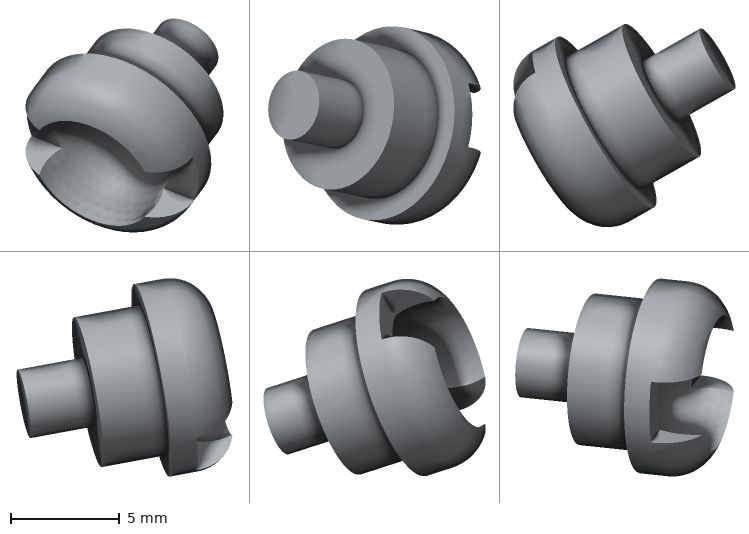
import cadquery as cq
import math

total_length = 9.2
head_diameter = 9.0
collar_diameter = 7.0
stem_diameter = 3.2
step_length = 3.0
head_rim_length = 1.31
socket_radius = 3.25
socket_center_y = 0.86
slot_width = 3.0
slot_depth = 2.0

stem_end = total_length
collar_end = stem_end - step_length
head_end = collar_end - step_length
dome_start = head_end - head_rim_length

head_radius = head_diameter / 2
collar_radius = collar_diameter / 2
stem_radius = stem_diameter / 2

mouth_radius = math.sqrt(socket_radius**2 - socket_center_y**2)
socket_bottom = socket_center_y + socket_radius


def make_turned_body():
    """Stem, collar and domed head with its socket, as one turned profile of (radius, Y) points."""
    profile = (
        cq.Workplane("XY")
        .moveTo(0, stem_end)
        .lineTo(stem_radius, stem_end)
        .lineTo(stem_radius, collar_end)
        .lineTo(collar_radius, collar_end)
        .lineTo(collar_radius, head_end)
        .lineTo(head_radius, head_end)
        .lineTo(head_radius, dome_start)
        .tangentArcPoint((mouth_radius, 0), relative=False)
        .threePointArc((socket_radius, socket_center_y), (0, socket_bottom))
        .close()
    )
    body = profile.revolve(360, (0, 0, 0), (0, 1, 0))
    return body.rotate((0, 0, 0), (0, 1, 0), -90)


def make_slot():
    """Driver slot cut right across the open face along X."""
    slot_length = 2 * head_diameter
    return (
        cq.Workplane("XY")
        .box(slot_length, slot_depth, slot_width)
        .translate((0, slot_depth / 2, 0))
    )


result = make_turned_body().cut(make_slot())